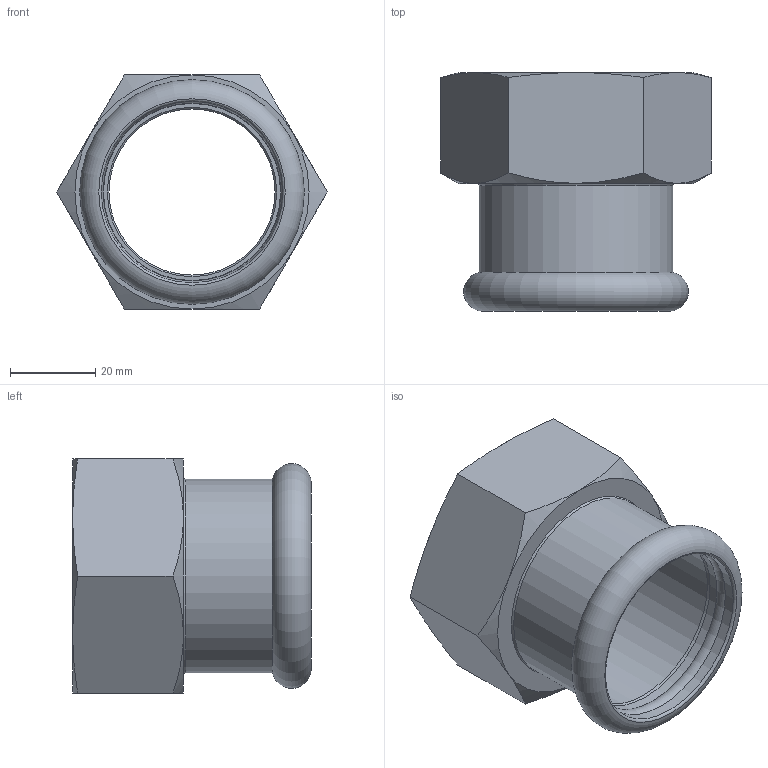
import cadquery as cq
import math

total_length = 56.0
nut_length = 26.0
across_flats = 55.0
nut_front = total_length - nut_length

front_chamfer_angle = 30.0
rear_chamfer_angle = 15.0

tube_outer_diameter = 45.4
bead_diameter = 52.75
bead_section_radius = 4.6
neck_cone_length = 0.5
neck_cone_rise = 0.25

socket_diameter = 42.4
socket_end = 36.0
mouth_bore_diameter = 42.7
mouth_radius = 21.95
mouth_bore_end = 8.3
lead_cone_length = 0.7

seal_crest_diameter = 41.9
seal_width = 2.8

bore_diameter = 39.0
bore_chamfer = 0.4
socket_corner_chamfer = 0.4

tube_radius = tube_outer_diameter / 2
bead_center_radius = bead_diameter / 2 - bead_section_radius
bead_center_y = bead_section_radius
bead_end = bead_center_y + math.sqrt(bead_section_radius**2 - (tube_radius - bead_center_radius) ** 2)
socket_radius = socket_diameter / 2
mouth_bore_radius = mouth_bore_diameter / 2
bore_radius = bore_diameter / 2
mouth_rounding = mouth_radius - mouth_bore_radius
corner_diameter = across_flats / math.cos(math.radians(30))


def revolve_about_y(profile):
    """Turn a closed half profile, drawn as (radius, y), around the Y axis."""
    return profile.close().revolve(360, (0, 0, 0), (0, 1, 0))


def make_nut():
    """Hexagon with corners on X, trimmed by a cone at each end."""
    hexagon = (
        cq.Workplane("XZ", origin=(0, total_length, 0))
        .polygon(6, corner_diameter)
        .extrude(nut_length)
    )
    flat_radius = across_flats / 2
    corner_radius = corner_diameter / 2
    corner_height = corner_radius - flat_radius
    front_drop = corner_height * math.tan(math.radians(front_chamfer_angle))
    rear_drop = corner_height * math.tan(math.radians(rear_chamfer_angle))
    envelope = revolve_about_y(
        cq.Workplane("XY")
        .moveTo(0, nut_front)
        .lineTo(flat_radius, nut_front)
        .lineTo(corner_radius, nut_front + front_drop)
        .lineTo(corner_radius, total_length - rear_drop)
        .lineTo(flat_radius, total_length)
        .lineTo(0, total_length)
    )
    return hexagon.intersect(envelope)


def make_tube():
    """Solid tube with the rounded bead at its mouth and a small cone at the nut."""
    return revolve_about_y(
        cq.Workplane("XY")
        .moveTo(0, 0)
        .lineTo(bead_center_radius, 0)
        .threePointArc((bead_diameter / 2, bead_center_y), (tube_radius, bead_end))
        .lineTo(tube_radius, nut_front - neck_cone_length)
        .lineTo(tube_radius + neck_cone_rise, nut_front)
        .lineTo(0, nut_front)
    )


def make_cavity():
    """Stepped bore: rounded mouth, seal ring, lead cone, socket and through bore."""
    seal_start = bead_center_y - seal_width / 2
    seal_end = bead_center_y + seal_width / 2
    rounding_slant = mouth_rounding * (1 - math.sqrt(0.5))
    return revolve_about_y(
        cq.Workplane("XY")
        .moveTo(0, 0)
        .lineTo(mouth_radius, 0)
        .threePointArc(
            (mouth_bore_radius + rounding_slant, rounding_slant),
            (mouth_bore_radius, mouth_rounding),
        )
        .lineTo(mouth_bore_radius, seal_start)
        .threePointArc((seal_crest_diameter / 2, bead_center_y), (mouth_bore_radius, seal_end))
        .lineTo(mouth_bore_radius, mouth_bore_end)
        .lineTo(socket_radius, mouth_bore_end + lead_cone_length)
        .lineTo(socket_radius, socket_end - socket_corner_chamfer)
        .lineTo(socket_radius - socket_corner_chamfer, socket_end)
        .lineTo(bore_radius + bore_chamfer, socket_end)
        .lineTo(bore_radius, socket_end + bore_chamfer)
        .lineTo(bore_radius, total_length)
        .lineTo(0, total_length)
    )


result = make_nut().union(make_tube()).cut(make_cavity())